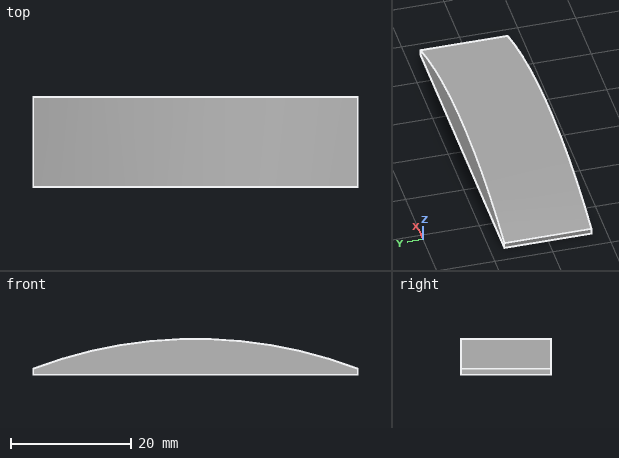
import cadquery as cq

length = 54.0
width = 15.0
crown_height = 6.0
end_height = 1.0

half_length = length / 2

profile = (
    cq.Workplane("XZ")
    .moveTo(-half_length, 0)
    .lineTo(half_length, 0)
    .lineTo(half_length, end_height)
    .threePointArc((0, crown_height), (-half_length, end_height))
    .close()
)

result = profile.extrude(width / 2, both=True)